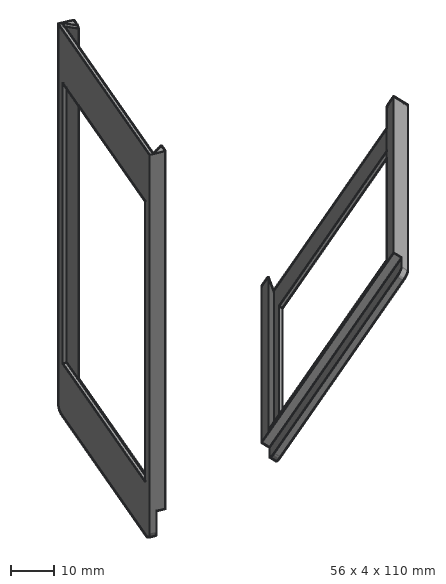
import cadquery as cq

width = 56.0
depth = 4.0
height = 110.0

plate_thickness = 1.8
corner_radius = 2.0

window_margin = 2.9
window_bottom = 15.1
window_top = 94.9

frame_bottom = 8.0

floor_thickness = 1.0
wall_at_floor = 0.7
wall_at_back = 3.0
shelf_thickness = 1.8

lead_in_width = 0.5
lead_in_height = 0.5


def make_plate():
    """Front plate with rounded lower corners; the front face lies on Y = 0."""
    plate = cq.Workplane("XY").box(width, plate_thickness, height, centered=(True, False, False))
    return plate.edges("|Y and <Z").fillet(corner_radius)


def make_frame():
    """Full-depth block from which the side rails and bottom lip are left."""
    block = cq.Workplane("XY").box(width, depth, height - frame_bottom, centered=(True, False, False))
    return block.translate((0, 0, frame_bottom))


def dovetail_section(widening=0.0):
    """Corners of the pocket section in XY, widened by the given amount on each side."""
    half_floor = width / 2 - wall_at_floor + widening
    half_mouth = width / 2 - wall_at_back + widening
    return [
        (-half_floor, floor_thickness),
        (half_floor, floor_thickness),
        (half_mouth, depth),
        (-half_mouth, depth),
    ]


def make_pocket():
    """Dovetail pocket, open at the top and the back, resting on a flat bottom shelf."""
    shelf_top = frame_bottom + shelf_thickness
    pocket = cq.Workplane("XY").polyline(dovetail_section()).close().extrude(height - shelf_top)
    return pocket.translate((0, 0, shelf_top))


def make_lead_in():
    """Flared mouth that chamfers the rails where the pocket opens at the top."""
    flare = (
        cq.Workplane("XY")
        .polyline(dovetail_section())
        .close()
        .workplane(offset=lead_in_height)
        .polyline(dovetail_section(lead_in_width))
        .close()
        .loft(ruled=True)
    )
    return flare.translate((0, 0, height - lead_in_height))


def make_window():
    """Rectangular opening through the pocket floor, leaving the rails whole."""
    window = cq.Workplane("XY").box(
        width - 2 * window_margin, floor_thickness, window_top - window_bottom, centered=(True, False, False)
    )
    return window.translate((0, 0, window_bottom))


result = make_plate().union(make_frame()).cut(make_pocket()).cut(make_lead_in()).cut(make_window())